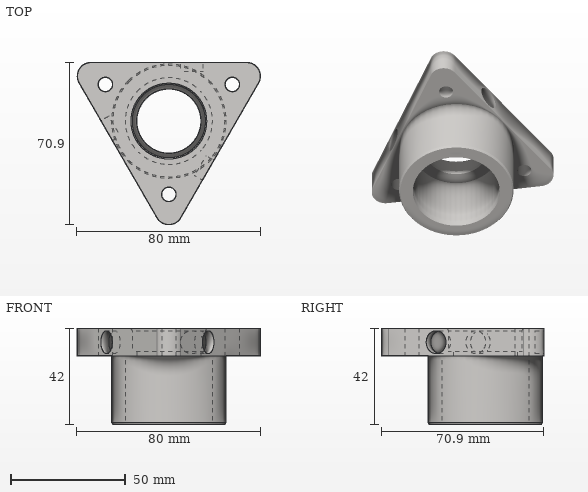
import cadquery as cq
import math

corner_spacing = 68.0
corner_radius = 6.0
flange_thickness = 12.0

boss_diameter = 50.0
boss_length = 30.0

seat_diameter = 32.0
seat_depth = 10.0
lip_diameter = 28.0
lip_thickness = 2.0
lower_bore_diameter = 38.0

chamfer_height = 1.0
chamfer_angle = 30.0

mount_hole_diameter = 6.2
mount_circle_radius = 32.0

pocket_diameter = 10.0
pocket_depth = 4.0
pocket_offset = 10.0

total_height = boss_length + flange_thickness
seat_floor_z = total_height - seat_depth
lip_bottom_z = seat_floor_z - lip_thickness
corner_circle_radius = corner_spacing / math.sqrt(3)
side_distance = corner_circle_radius / 2 + corner_radius
chamfer_width = chamfer_height * math.tan(math.radians(chamfer_angle))

corner_angles = (30, 150, 270)
side_angles = (90, 210, 330)


def polar_point(radius, angle):
    return (radius * math.cos(math.radians(angle)), radius * math.sin(math.radians(angle)))


def revolve_about_axis(half_section):
    """Turn a closed (radius, height) outline about the Z axis."""
    return cq.Workplane("XZ").polyline(half_section).close().revolve(360, (0, 0), (0, 1))


def make_flange():
    sharp_corner_radius = corner_circle_radius + 2 * corner_radius
    corners = [polar_point(sharp_corner_radius, angle) for angle in corner_angles]
    flange = cq.Workplane("XY").workplane(offset=boss_length).polyline(corners).close()
    return flange.extrude(flange_thickness).edges("|Z").fillet(corner_radius)


def make_boss():
    boss_radius = boss_diameter / 2
    half_section = [
        (0, 0),
        (boss_radius - chamfer_width, 0),
        (boss_radius, chamfer_height),
        (boss_radius, boss_length),
        (0, boss_length),
    ]
    return revolve_about_axis(half_section)


def make_bore():
    seat_radius = seat_diameter / 2
    lip_radius = lip_diameter / 2
    lower_radius = lower_bore_diameter / 2
    half_section = [
        (0, 0),
        (lower_radius, 0),
        (lower_radius, lip_bottom_z),
        (lip_radius, lip_bottom_z),
        (lip_radius, seat_floor_z),
        (seat_radius, seat_floor_z),
        (seat_radius, total_height - chamfer_height),
        (seat_radius + chamfer_width, total_height),
        (0, total_height),
    ]
    return revolve_about_axis(half_section)


def make_mount_holes():
    centres = [polar_point(mount_circle_radius, angle) for angle in corner_angles]
    holes = cq.Workplane("XY").workplane(offset=boss_length).pushPoints(centres)
    return holes.circle(mount_hole_diameter / 2).extrude(flange_thickness)


def make_side_pocket(side_angle):
    pocket = (
        cq.Workplane("YZ", origin=(side_distance - pocket_depth, 0, 0))
        .center(-pocket_offset, boss_length + flange_thickness / 2)
        .circle(pocket_diameter / 2)
        .extrude(pocket_depth)
    )
    return pocket.rotate((0, 0, 0), (0, 0, 1), side_angle)


result = make_flange().union(make_boss())
result = result.cut(make_bore()).cut(make_mount_holes())
for side_angle in side_angles:
    result = result.cut(make_side_pocket(side_angle))